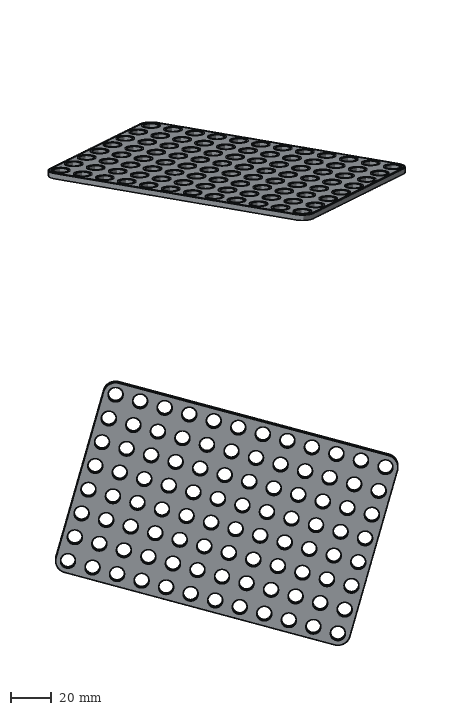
import cadquery as cq

PITCH = 12.5
COLUMNS = 12
ROWS = 8

LENGTH = COLUMNS * PITCH
WIDTH = ROWS * PITCH
THICKNESS = PITCH / 4
CORNER_RADIUS = PITCH / 2

CHAMFER = 0.3
HOLE_DIAMETER = 7.0

RIM_DIAMETER = 9.2
BORDER_WIDTH = 0.5
FIELD_DEPTH = 0.2


def rounded_slab(inset, height):
    """Slab with the plate's outline moved inward by the inset, standing on the XY plane."""
    length = LENGTH - 2 * inset
    width = WIDTH - 2 * inset
    slab = cq.Workplane("XY").box(length, width, height, centered=(True, True, False))
    return slab.edges("|Z").fillet(CORNER_RADIUS - inset)


def at_every_hole(shape):
    """Copies of a shape at the centre of every grid cell."""
    cell_centres = cq.Workplane("XY").rarray(PITCH, PITCH, COLUMNS, ROWS)
    return cell_centres.eachpoint(lambda place: shape.moved(place))


def make_blank():
    """Rounded plate centred on the origin, chamfered along both faces."""
    blank = rounded_slab(0, THICKNESS).translate((0, 0, -THICKNESS / 2))
    return blank.faces("<Z or >Z").edges().chamfer(CHAMFER)


def make_hole_cutter():
    """Through hole with chamfered mouths, as one revolved profile."""
    bore_radius = HOLE_DIAMETER / 2
    mouth_radius = bore_radius + CHAMFER
    face_height = THICKNESS / 2
    bore_end = face_height - CHAMFER
    profile = (
        cq.Workplane("XZ")
        .moveTo(0, -face_height)
        .lineTo(mouth_radius, -face_height)
        .lineTo(bore_radius, -bore_end)
        .lineTo(bore_radius, bore_end)
        .lineTo(mouth_radius, face_height)
        .lineTo(0, face_height)
        .close()
    )
    return profile.revolve(360, (0, 0), (0, 1)).val()


def make_field_cutter():
    """Shallow slab inside the border, with the hole rims left out, at the upper face."""
    rim = cq.Workplane("XY").circle(RIM_DIAMETER / 2).extrude(FIELD_DEPTH).val()
    field = rounded_slab(CHAMFER + BORDER_WIDTH, FIELD_DEPTH).cut(at_every_hole(rim))
    return field.translate((0, 0, THICKNESS / 2 - FIELD_DEPTH))


plate = make_blank()
plate = plate.cut(at_every_hole(make_hole_cutter()))
result = plate.cut(make_field_cutter())